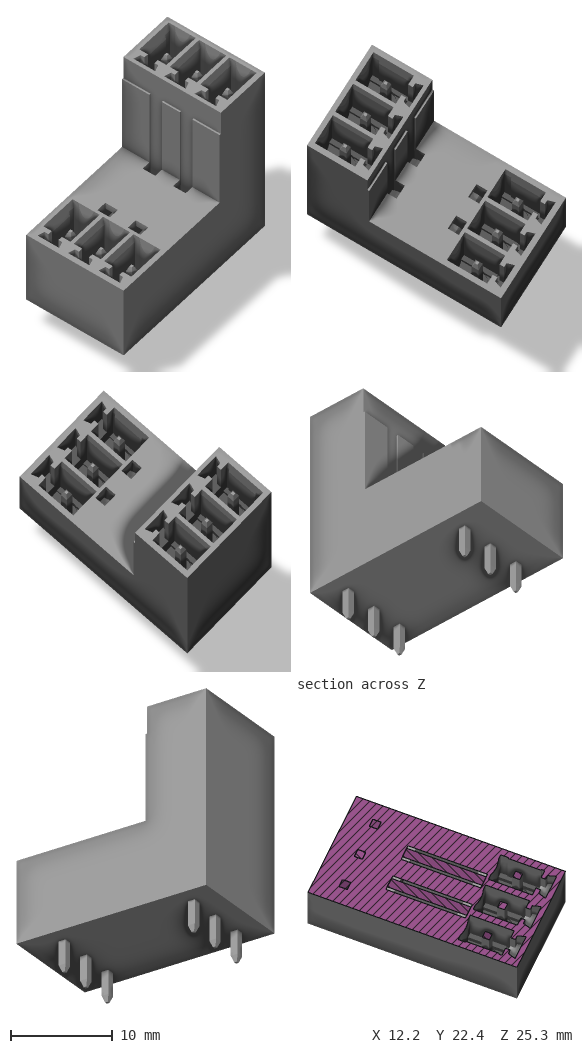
import cadquery as cq
import math

width = 12.22
depth = 22.4
height = 21.9
base_height = 9.23
tower_face_y = 4.23
back_y = depth / 2

contact_pitch = 3.82
row_pitch = 15.23
back_row_y = 8.2
front_row_y = back_row_y - row_pitch
contact_xs = [-contact_pitch, 0, contact_pitch]
guide_xs = [-contact_pitch / 2, contact_pitch / 2]
rows = [(back_row_y, height, False), (front_row_y, base_height, True)]

pin_side = 0.8
pin_tip_side = 0.3
pin_taper_length = 0.7
pin_tail_length = 3.4
pin_tip_below_rim = 1.4

cavity_width = 3.4
cavity_back = 2.45
cavity_front = 2.2
cavity_depth = 7.34
lead_in_angle = 10.0
wall_lead_in = 0.18
outer_wall_rib = 0.1
rib_back = 1.67
rib_front = 1.9
channel_width = 2.0
ledge_height = 0.5
front_row_ledge_step = 0.2
ledge_step_front = 1.47
bore_diameter = 2.1
bore_depth = 0.25

key_bulge = 0.18
key_chamfer_angle = 7.0

coding_depth = 5.05
stem_width = 1.26
dovetail_back = 2.73
dovetail_front = 3.55
dovetail_back_width = 2.2
dovetail_front_width = 2.7

panel_height = 9.66
panel_rise = 0.2
window_width = 1.57
window_end_y = tower_face_y
window_length = 1.26
roof_thickness = 0.8

insert_width = 5.57
shoulder_height = 5.7
middle_height = 4.3
shoulder_start_y = 3.36
tunnel_width = 1.67
ridge_height = 7.6
ridge_top_width = 0.78
ridge_draft_angle = 5.0
ridge_flat_end_y = 3.52
ridge_end_angle = 51.0


def box(x_min, x_max, y_min, y_max, z_min, z_max):
    """Axis-aligned block between the given limits."""
    size = (x_max - x_min, y_max - y_min, z_max - z_min)
    return cq.Workplane("XY").box(*size, centered=False).translate((x_min, y_min, z_min))


def prism_along_y(points_xz, y_min, y_max):
    """Extrude an XZ outline from y_min to y_max."""
    outline = cq.Workplane("XZ", origin=(0, y_max, 0)).polyline(points_xz).close()
    return outline.extrude(y_max - y_min)


def prism_along_x(points_yz, x_min, x_max):
    """Extrude a YZ outline from x_min to x_max."""
    outline = cq.Workplane("YZ", origin=(x_min, 0, 0)).polyline(points_yz).close()
    return outline.extrude(x_max - x_min)


def mirrored(half_points):
    """Close a half outline by reflecting its points in the vertical axis."""
    return half_points + [(-across, up) for across, up in reversed(half_points)]


def cavity_section(left_inset, right_inset, floor):
    """Cavity XZ outline below a rim at Z = 0, with sloped lead-ins at the top of both side walls."""
    half = cavity_width / 2
    slope = math.tan(math.radians(lead_in_angle))
    return [
        (-half, 0),
        (half, 0),
        (half - right_inset, -right_inset / slope),
        (half - right_inset, floor),
        (-half + left_inset, floor),
        (-half + left_inset, -left_inset / slope),
    ]


def back_wall_key():
    """Convex key on the cavity's back wall, chamfered down from the rim."""
    half = channel_width / 2
    chamfer_depth = key_bulge / math.tan(math.radians(key_chamfer_angle))
    crown_y = cavity_back - key_bulge
    key = (
        cq.Workplane("XY", origin=(0, 0, -cavity_depth))
        .moveTo(-half, cavity_back)
        .threePointArc((0, crown_y), (half, cavity_back))
        .close()
        .extrude(cavity_depth)
    )
    chamfer_outline = [(cavity_back, 0), (crown_y, 0), (crown_y, -chamfer_depth)]
    chamfer = prism_along_x(chamfer_outline, -half, half)
    return key.cut(chamfer)


def coding_slot():
    """Stem and dovetail that open the front wall of a cavity."""
    stem_half = stem_width / 2
    half_outline = [
        (stem_half, -cavity_front),
        (stem_half, -dovetail_back),
        (dovetail_back_width / 2, -dovetail_back),
        (dovetail_front_width / 2, -dovetail_front),
    ]
    outline = cq.Workplane("XY").polyline(mirrored(half_outline)).close()
    return outline.extrude(-coding_depth)


def plug_cavity(column, stepped_ledges):
    """Void of one cavity; the pin axis is at X = Y = 0 and the rim at Z = 0."""
    floor = -cavity_depth
    ledge = floor + ledge_height
    left_rib = outer_wall_rib if column == 0 else 0
    right_rib = outer_wall_rib if column == len(contact_xs) - 1 else 0

    ribbed_section = cavity_section(wall_lead_in + left_rib, wall_lead_in + right_rib, ledge)
    void = prism_along_y(ribbed_section, -rib_front, rib_back)
    plain_section = cavity_section(wall_lead_in, wall_lead_in, ledge)
    void = void.union(prism_along_y(plain_section, -cavity_front, -rib_front))
    void = void.union(prism_along_y(plain_section, rib_back, cavity_back))

    if stepped_ledges:
        half = cavity_width / 2 - wall_lead_in
        void = void.union(box(-half, half, -cavity_front, -ledge_step_front,
                              ledge - front_row_ledge_step, ledge))

    channel_half = channel_width / 2
    void = void.union(box(-channel_half, channel_half, -cavity_front, cavity_back, floor, ledge))
    void = void.cut(back_wall_key())
    bore = cq.Workplane("XY", origin=(0, 0, floor - bore_depth)).circle(bore_diameter / 2)
    void = void.union(bore.extrude(bore_depth + ledge_height))
    return void.union(coding_slot())


def make_pin(x, y, rim_z):
    """Square contact pin with a tapered tip at both ends."""
    top = rim_z - pin_tip_below_rim
    shaft_bottom = -pin_tail_length + pin_taper_length
    shaft_top = top - pin_taper_length
    half = pin_side / 2
    shaft = box(-half, half, -half, half, shaft_bottom, shaft_top)

    def tip(z_shaft, z_end):
        base = cq.Workplane("XY", origin=(0, 0, z_shaft)).rect(pin_side, pin_side)
        end = base.workplane(offset=z_end - z_shaft).rect(pin_tip_side, pin_tip_side)
        return end.loft(ruled=True)

    pin = shaft.union(tip(shaft_top, top)).union(tip(shaft_bottom, -pin_tail_length))
    return pin.translate((x, y, 0))


def make_ridge(x):
    """Drafted ridge along Y with sloped ends, standing on the middle floor of the insert."""
    rise = ridge_height - middle_height
    foot_half = ridge_top_width / 2 + rise * math.tan(math.radians(ridge_draft_angle))
    section = mirrored([(ridge_top_width / 2, ridge_height), (foot_half, middle_height)])
    ridge = prism_along_y(section, -window_end_y, window_end_y)

    end_drop = (window_end_y - ridge_flat_end_y) * math.tan(math.radians(ridge_end_angle))
    end_limits = mirrored([
        (ridge_flat_end_y, ridge_height),
        (window_end_y, ridge_height - end_drop),
        (window_end_y, middle_height),
    ])
    return ridge.intersect(prism_along_x(end_limits, -foot_half, foot_half)).translate((x, 0, 0))


def make_insert():
    """Block filling the underside recess, with a shoulder at each end and two ridges."""
    profile = mirrored([
        (shoulder_start_y, middle_height),
        (shoulder_start_y, shoulder_height),
        (window_end_y, shoulder_height),
        (window_end_y, 0),
    ])
    body = prism_along_x(profile, -insert_width / 2, insert_width / 2)
    for x in guide_xs:
        body = body.union(make_ridge(x))
    return body


def make_housing():
    """L-shaped housing with plug cavities, tower panels, guide windows and the insert recess."""
    half_width = width / 2
    body = box(-half_width, half_width, -back_y, back_y, 0, base_height)
    body = body.union(box(-half_width, half_width, tower_face_y, back_y, 0, height))

    panel_face_y = tower_face_y - panel_rise
    panel_top = base_height + panel_height
    panels = box(-half_width, half_width, panel_face_y, tower_face_y, base_height, panel_top)
    for x in guide_xs:
        panels = panels.cut(box(x - window_width / 2, x + window_width / 2,
                                panel_face_y, tower_face_y, base_height, panel_top))
    body = body.union(panels)

    body = body.cut(box(-insert_width / 2, insert_width / 2, -window_end_y, window_end_y,
                        0, shoulder_height))
    roof = base_height - roof_thickness
    for x in guide_xs:
        body = body.cut(box(x - tunnel_width / 2, x + tunnel_width / 2, -window_end_y, window_end_y,
                            shoulder_height, roof))
        for y_min in (-window_end_y, window_end_y - window_length):
            body = body.cut(box(x - window_width / 2, x + window_width / 2,
                                y_min, y_min + window_length, roof, base_height))

    for y, rim_z, stepped_ledges in rows:
        for column, x in enumerate(contact_xs):
            body = body.cut(plug_cavity(column, stepped_ledges).translate((x, y, rim_z)))
    return body


pins = [make_pin(x, y, rim_z) for y, rim_z, _ in rows for x in contact_xs]
insert = make_insert()
housing = make_housing()
for pin in pins:
    housing = housing.cut(pin)

result = cq.Compound.makeCompound([housing.val(), insert.val(), *[pin.val() for pin in pins]])